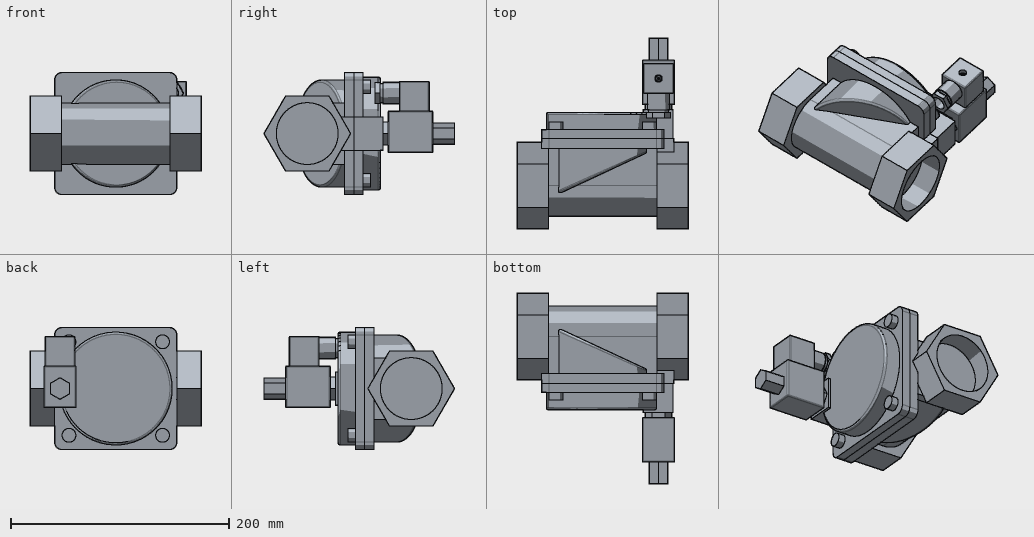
import cadquery as cq
import math


overall_depth = 174.8

pipe_length = 157.0
pipe_dia = 56.3
port_dia = 56.6
hex_length = 29.0
hex_flats = 68.9
hex_corners = hex_flats / math.cos(math.pi / 6)
port_depth = 20.1
flange_side = 112.0
flange_corner = 7.0
flange_bottom = 33.9
split_y = 43.0
chamber_dia = 98.2
chamber_floor_y = 11.2
chamber_floor_angle = 25.0
chamber_edge_fillet = 2.1

flange_top = 51.2
dome_dia = 103.5
dome_top = 67.1
dome_fillet = 2.1
screw_dia = 12.5
screw_offset = 42.8
screw_top = 58.0

pilot_width = 30.6
pilot_left = 36.9
pilot_right = 64.5
pilot_bottom = 31.0
pilot_top = 69.5
pilot_body_right = 65.2

solenoid_x = 51.0
stem_corners = 24.5
coil_width = 29.5
coil_y = (74.1, 115.0)
coil_z = (-17.5, 20.6)
tip_corners = 19.8
tip_end = overall_depth - hex_corners / 2
case_fillet = 1.0

connector_side = 27.5
connector_y = 98.0
connector_top = 47.7
gland_z = 37.0
gland_dia = 20.0
gland_end = 69.4
gland_neck_dia = 18.0
gland_nut_corners = 22.2
gland_nut_y = (61.9, 66.8)
cable_hole_dia = 13.0

screw_hole_dia = 6.8
screw_hole_depth = 4.4
screw_head_dia = 5.5
screw_head_height = 1.7
screw_head_fillet = 1.5
cross_length = 3.0
cross_width = 0.9
cross_depth = 1.0


def box(x_span, y_span, z_span):
    """Box between the given low and high limits on each axis."""
    spans = (x_span, y_span, z_span)
    sizes = [high - low for low, high in spans]
    corner = cq.Vector(*[low for low, high in spans])
    return cq.Workplane("XY").add(cq.Solid.makeBox(*sizes, corner))


def around(centre, width):
    """Low and high limits of a width placed evenly about a centre."""
    return (centre - width / 2, centre + width / 2)


def cylinder_y(dia, y_span, x=0.0, z=0.0):
    """Cylinder along Y."""
    low, high = y_span
    return cq.Workplane("XZ", origin=(x, low, z)).circle(dia / 2).extrude(low - high)


def hexagon_y(corners, y_span, x=0.0, z=0.0, turn=0.0):
    """Hexagonal prism along Y, with corners on +X and -X before it is turned."""
    low, high = y_span
    prism = cq.Workplane("XZ", origin=(x, low, z)).polygon(6, corners).extrude(low - high)
    return prism.rotate((x, 0, z), (x, 1, z), turn)


def flange_plate(y_span):
    """Square plate with rounded corners, half of the bolted joint."""
    side = around(0, flange_side)
    return box(side, y_span, side).edges("|Y").fillet(flange_corner)


def make_chamber():
    """Round chamber below the flange, cut off by a sloping floor with a rounded edge."""
    chamber = cylinder_y(chamber_dia, (-chamber_dia / 2, split_y))
    below_floor = (
        box(around(0, 3 * chamber_dia), (-2 * chamber_dia, 0), around(0, 2 * chamber_dia))
        .rotate((0, 0, 0), (0, 0, 1), chamber_floor_angle)
        .translate((0, chamber_floor_y, 0))
    )
    return chamber.cut(below_floor).edges("<Y").fillet(chamber_edge_fillet)


def make_body():
    """Pipe with hexagonal ends, chamber, lower flange plate and lower pilot block."""
    end = pipe_length / 2
    inner_end = end - hex_length
    pipe = cq.Workplane("YZ", origin=(-inner_end, 0, 0)).circle(pipe_dia / 2).extrude(2 * inner_end)
    web = box((-inner_end, inner_end), (0, flange_bottom), around(0, pipe_dia))
    pilot = box((pilot_left, pilot_body_right), (pilot_bottom, split_y), around(0, pilot_width))
    flange = flange_plate((flange_bottom, split_y))
    body = pipe.union(web).union(make_chamber()).union(flange).union(pilot)
    for start in (-end, inner_end):
        nut = cq.Workplane("YZ", origin=(start, 0, 0)).polygon(6, hex_corners).extrude(hex_length)
        body = body.union(nut)
    for start in (-end, end - port_depth):
        port = cq.Workplane("YZ", origin=(start, 0, 0)).circle(port_dia / 2).extrude(port_depth)
        body = body.cut(port)
    return body


def make_cover():
    """Upper flange plate with the dome, its four screw heads and the upper pilot block."""
    dome = cylinder_y(dome_dia, (split_y, dome_top)).edges(">Y").fillet(dome_fillet)
    pilot = box((pilot_left, pilot_right), (split_y, pilot_top), around(0, pilot_width))
    cover = flange_plate((split_y, flange_top)).union(dome).union(pilot)
    for x in (-screw_offset, screw_offset):
        for z in (-screw_offset, screw_offset):
            cover = cover.union(cylinder_y(screw_dia, (split_y, screw_top), x, z))
    return cover


def add_sunk_screw(connector):
    """Sink a hole into the connector top and leave a domed, cross-slotted screw head at its bottom."""
    floor = cq.Workplane("XY", origin=(solenoid_x, connector_y, connector_top - screw_hole_depth))
    hole = floor.circle(screw_hole_dia / 2).extrude(screw_hole_depth)
    head = floor.circle(screw_head_dia / 2).extrude(screw_head_height).edges(">Z").fillet(screw_head_fillet)
    head_top = floor.workplane(offset=screw_head_height)
    for slot_x, slot_y in ((cross_length, cross_width), (cross_width, cross_length)):
        head = head.cut(head_top.rect(slot_x, slot_y).extrude(-cross_depth))
    return connector.cut(hole).union(head)


def make_connector():
    """Connector case with the cable gland on its -Y side and a sunk screw in its top."""
    case_x = around(solenoid_x, connector_side)
    case_y = around(connector_y, connector_side)
    case = box(case_x, case_y, (0, connector_top)).edges("|Z or >Z").fillet(case_fillet)
    gland = cylinder_y(gland_dia, (gland_end, connector_y), solenoid_x, gland_z)
    neck = cylinder_y(gland_neck_dia, (gland_nut_y[1], gland_end), solenoid_x, gland_z)
    nut = hexagon_y(gland_nut_corners, gland_nut_y, solenoid_x, gland_z)
    cable_hole = cylinder_y(cable_hole_dia, (gland_nut_y[0], case_y[0]), solenoid_x, gland_z)
    connector = case.union(gland).union(neck).union(nut).cut(cable_hole)
    return add_sunk_screw(connector)


def make_solenoid():
    """Stem, coil case and hexagonal tip along Y, joined to the connector."""
    stem = hexagon_y(stem_corners, (pilot_top, coil_y[0]), solenoid_x)
    coil = box(around(solenoid_x, coil_width), coil_y, coil_z).edges().fillet(case_fillet)
    tip = hexagon_y(tip_corners, (coil_y[1], tip_end), solenoid_x, turn=90)
    return coil.union(stem).union(tip).union(make_connector())


body = make_body()
cover = make_cover()
solenoid = make_solenoid()

result = cq.Compound.makeCompound([body.val(), cover.val(), solenoid.val()])